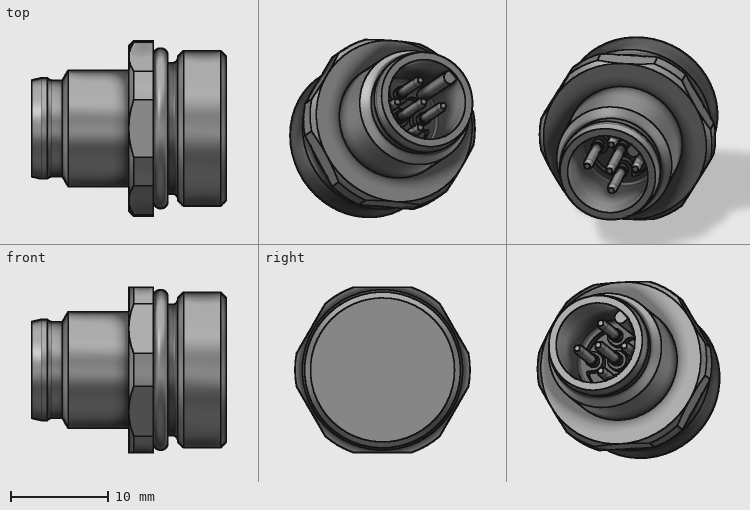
import cadquery as cq
import math

total_length = 20
lip_start = 1
lip_end = 1.6
lip_bevel = 0.05
neck_start = 2.02
shoulder_angle = 60
body_start = 3.75
flange_start = 9.98
flange_end = 12.5
thread_start = 15

mouth_diameter = 9.95
lip_diameter = 10.4
neck_diameter = 9.95
body_diameter = 12
flange_diameter = 18
groove_diameter = 13.5
thread_diameter = 16
thread_chamfer = 0.6
groove_fillet = 0.5

ring_section = 1.5

hex_across_flats = 17
hex_across_corners = hex_across_flats / math.cos(math.pi / 6)

socket_diameter = 8.38
socket_depth = 8.5
socket_fillet = 0.28

pin_offset = 2.5
pin_diameter = 1
pin_tip_diameter = 0.6
pin_taper = 0.75
outer_pin_tip = 2
center_pin_tip = 1
collar_diameter = 1.25
collar_height = 1
collar_chamfer = (collar_diameter - pin_diameter) / 2

recess_diameter = 6.9
recess_depth = 1
land_diameter = 2
recess_corner_radius = 0.2
lobe_radius = 0.8

key_width = 1.3
key_center_radius = 3.68
key_front = 0.3
key_root = 0.2
key_angle = 135


def yz_plane(x):
    """Plane across the axis at x: local x is +Y, local y is +Z, normal is +X."""
    return cq.Workplane("YZ", origin=(x, 0, 0))


def rod(diameter, start, end):
    """Cylinder on the connector axis."""
    return yz_plane(start).circle(diameter / 2).extrude(end - start)


def turned_body():
    """Revolved outline of the shell, the still round flange and the sealing ring."""
    lip_r = lip_diameter / 2
    neck_r = neck_diameter / 2
    body_r = body_diameter / 2
    flange_r = flange_diameter / 2
    flat_r = hex_across_flats / 2
    groove_r = groove_diameter / 2
    thread_r = thread_diameter / 2
    chamfered_r = thread_r - thread_chamfer
    section_r = ring_section / 2
    ring_r = groove_r + section_r
    ring_x = flange_end + section_r
    arc_middle = section_r * math.cos(math.pi / 4)
    shoulder_start = body_start - (body_r - neck_r) / math.tan(math.radians(shoulder_angle))
    fillet_start = thread_start - groove_fillet
    return (
        cq.Workplane("XY")
        .moveTo(0, 0)
        .lineTo(0, mouth_diameter / 2)
        .lineTo(lip_start, lip_r)
        .lineTo(lip_end, lip_r)
        .lineTo(lip_end + lip_bevel, lip_r - lip_bevel)
        .tangentArcPoint((neck_start, neck_r), relative=False)
        .lineTo(shoulder_start, neck_r)
        .lineTo(body_start, body_r)
        .lineTo(flange_start, body_r)
        .lineTo(flange_start, flat_r)
        .lineTo(flange_start + flange_r - flat_r, flange_r)
        .lineTo(flange_end, flange_r)
        .lineTo(flange_end, ring_r)
        .threePointArc((ring_x + arc_middle, ring_r + arc_middle), (ring_x, groove_r))
        .lineTo(fillet_start, groove_r)
        .radiusArc((thread_start, groove_r + groove_fillet), -groove_fillet)
        .lineTo(thread_start, chamfered_r)
        .lineTo(thread_start + thread_chamfer, thread_r)
        .lineTo(total_length - thread_chamfer, thread_r)
        .lineTo(total_length, chamfered_r)
        .lineTo(total_length, 0)
        .close()
        .revolve(360, (0, 0, 0), (1, 0, 0))
    )


def hexagon_waste():
    """Material outside the hexagon over the length of the flange."""
    length = flange_end - flange_start
    hexagon = yz_plane(flange_start).polygon(6, hex_across_corners).extrude(length)
    return rod(2 * flange_diameter, flange_start, flange_end).cut(hexagon)


def socket():
    """Round cavity at the mating end with a rounded edge at its floor."""
    return rod(socket_diameter, 0, socket_depth).faces(">X").edges().fillet(socket_fillet)


def turn(angle, shape):
    """Turn a shape about the connector axis, from +Y towards +Z."""
    return shape.rotate((0, 0, 0), (1, 0, 0), angle)


def sunk(outline):
    """Extrude an outline on the carrier face to the depth of the recess."""
    return outline.extrude(recess_depth)


def lands():
    """Round lands about the pins; the four outer ones run on to the rim of the recess."""
    carrier_face = yz_plane(socket_depth)
    tail_length = recess_diameter / 2 - pin_offset
    tail_center = pin_offset + tail_length / 2
    all_lands = sunk(carrier_face.circle(land_diameter / 2))
    for position in range(4):
        land = sunk(carrier_face.center(pin_offset, 0).circle(land_diameter / 2))
        tail = sunk(carrier_face.center(tail_center, 0).rect(tail_length, land_diameter))
        all_lands = all_lands.union(turn(90 * position, land.union(tail)))
    return all_lands


def corner_pocket():
    """Quarter of the recess between +Y and +Z, with its two outer corners rounded."""
    radius = recess_diameter / 2
    quarter = sunk(yz_plane(socket_depth).rect(radius, radius, centered=False))
    disc = rod(recess_diameter, socket_depth, socket_depth + recess_depth)
    pocket = disc.intersect(quarter).cut(lands())
    corner_reach = math.sqrt(radius**2 - (land_diameter / 2) ** 2)
    for y, z in ((corner_reach, land_diameter / 2), (land_diameter / 2, corner_reach)):
        corner = cq.selectors.NearestToPointSelector((socket_depth + recess_depth / 2, y, z))
        pocket = pocket.edges("|X").edges(corner).fillet(recess_corner_radius)
    return pocket


def lobe_pocket():
    """Quarter of the recess that ends in a round lobe touching two lands, clear of the key."""
    reach = land_diameter / 2 + lobe_radius
    center = (pin_offset + math.sqrt(2 * reach**2 - pin_offset**2)) / 2
    carrier_face = yz_plane(socket_depth)
    web_corners = [(0, 0), (pin_offset, 0), (center, center), (0, pin_offset)]
    web = sunk(carrier_face.polyline(web_corners).close())
    lobe = sunk(carrier_face.center(center, center).circle(lobe_radius))
    return web.union(lobe).cut(lands())


def recess():
    """Lobe pocket on the key's side and corner pockets in the other three quarters."""
    key_quarter = key_angle - 45
    pockets = turn(key_quarter, lobe_pocket())
    for step in (90, 180, 270):
        pockets = pockets.union(turn(key_quarter + step, corner_pocket()))
    return pockets


def key():
    """Round-nosed rib along the socket, rooted in its wall."""
    root_radius = socket_diameter / 2 + key_root
    length = socket_depth - key_front
    nose = yz_plane(key_front).center(key_center_radius, 0).circle(key_width / 2).extrude(length)
    stem = (
        yz_plane(key_front)
        .center((key_center_radius + root_radius) / 2, 0)
        .rect(root_radius - key_center_radius, key_width)
        .extrude(length)
    )
    return turn(key_angle, nose.union(stem))


def pin(tip):
    """Pin along the axis with a tapered tip and a chamfered collar at its foot."""
    pin_r = pin_diameter / 2
    collar_r = collar_diameter / 2
    collar_front = socket_depth - collar_height
    return (
        cq.Workplane("XY")
        .moveTo(tip, 0)
        .lineTo(tip, pin_tip_diameter / 2)
        .lineTo(tip + pin_taper, pin_r)
        .lineTo(collar_front, pin_r)
        .lineTo(collar_front + collar_chamfer, collar_r)
        .lineTo(socket_depth + recess_depth, collar_r)
        .lineTo(socket_depth + recess_depth, 0)
        .close()
        .revolve(360, (0, 0, 0), (1, 0, 0))
    )


def pins():
    """Longer centre pin and the four pins around it."""
    all_pins = pin(center_pin_tip)
    outer_pin = pin(outer_pin_tip).translate((0, pin_offset, 0))
    for position in range(4):
        all_pins = all_pins.union(turn(90 * position, outer_pin))
    return all_pins


shell = turned_body().cut(hexagon_waste()).cut(socket())
result = shell.cut(recess()).union(key()).union(pins())